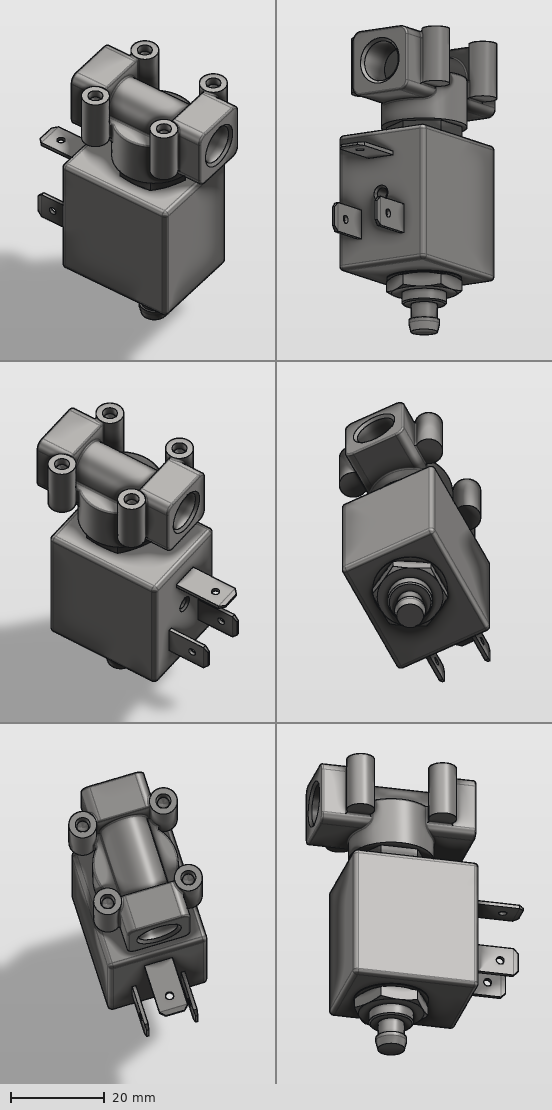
import cadquery as cq
import math


DRILL_POINT_ANGLE = 118.0
FLAT_END_ANGLE = 180.0

TAIL_TIP_RADIUS = 2.85
BARB_RADIUS = 3.3
BARB_TAPER_HEIGHT = 1.8
BARB_TOP = 2.6
TAIL_RADIUS = 2.8
COLLAR_BOTTOM = 6.0
COLLAR_RADIUS = 4.75
COLLAR_CHAMFER = 0.3

HEX_ACROSS_FLATS = 14.0
HEX_CHAMFER_HEIGHT = 0.45
LOWER_HEX_BOTTOM = 8.5

WASHER_RADIUS = 8.0
WASHER_THICKNESS = 0.2

COIL_BOTTOM = 11.7
COIL_HEIGHT = 29.45
COIL_TOP = COIL_BOTTOM + COIL_HEIGHT
COIL_LENGTH = 27.5
COIL_WIDTH = 22.05
COIL_LEFT = -16.55
COIL_FILLET = 1.0
WASHER_BOTTOM = COIL_BOTTOM - WASHER_THICKNESS

SCREW_Z = 27.2
SCREW_RADIUS = 1.25
SCREW_MOUTH_RADIUS = 1.8
SCREW_MOUTH_DEPTH = SCREW_MOUTH_RADIUS - SCREW_RADIUS
SCREW_DEPTH = 3.8

BLADE_WIDTH = 6.3
BLADE_THICKNESS = 0.8
BLADE_TIP_CUT = 1.1
BLADE_TIP_THICKNESS = 0.5
BLADE_HOLE_DIAMETER = 1.7
BLADE_HOLE_FROM_TIP = 4.0
UPPER_BLADE_TIP = -28.5
UPPER_BLADE_Z = 35.6
LOWER_BLADE_TIP = -26.5
LOWER_BLADE_Z = 21.05
LOWER_BLADE_Y = 5.45

OVERALL_HEIGHT = 63.35
BODY_BOTTOM = 44.65
BODY_TOP = 55.1
BODY_RADIUS = 9.1
PORT_EDGE_RADIUS = 0.4
BLEND_RADIUS = 0.3
COINCIDENCE = 0.03

PORT_SPAN = 33.95
PORT_SIZE = 14.0
PORT_Z = 56.1
PORT_CORNER_RADIUS = 1.95
PORT_GAP = 17.2
PORT_HOLE_RADIUS = 4.3
PORT_MOUTH_RADIUS = 4.95
PORT_MOUTH_DEPTH = PORT_MOUTH_RADIUS - PORT_HOLE_RADIUS
PORT_DEPTH = 8.25
TUBE_RADIUS = 5.2

PILLAR_SPACING = 18.0
PILLAR_RADIUS = 3.0
PILLAR_BOTTOM = 51.45
PILLAR_HOLE_RADIUS = 1.25
PILLAR_MOUTH_RADIUS = 1.6
PILLAR_MOUTH_DEPTH = 1.4
PILLAR_HOLE_DEPTH = 1.5


def cylinder(radius, bottom, top):
    return cq.Workplane("XY", origin=(0, 0, bottom)).circle(radius).extrude(top - bottom)


def blind_hole(radius, mouth_radius, mouth_depth, depth, point_angle):
    """Blind hole along -Z from the origin, with a conical mouth; a 180 degree point is a flat end."""
    point_depth = radius / math.tan(math.radians(point_angle / 2))
    return (
        cq.Workplane("XZ")
        .moveTo(0, 0)
        .lineTo(mouth_radius, 0)
        .lineTo(radius, -mouth_depth)
        .lineTo(radius, -depth)
        .lineTo(0, -depth - point_depth)
        .close()
        .revolve(360, (0, 0, 0), (0, 1, 0))
    )


def make_hose_tail():
    return (
        cq.Workplane("XZ")
        .moveTo(0, 0)
        .lineTo(TAIL_TIP_RADIUS, 0)
        .lineTo(BARB_RADIUS, BARB_TAPER_HEIGHT)
        .lineTo(BARB_RADIUS, BARB_TOP)
        .lineTo(TAIL_RADIUS, BARB_TOP)
        .lineTo(TAIL_RADIUS, COLLAR_BOTTOM)
        .lineTo(COLLAR_RADIUS - COLLAR_CHAMFER, COLLAR_BOTTOM)
        .lineTo(COLLAR_RADIUS, COLLAR_BOTTOM + COLLAR_CHAMFER)
        .lineTo(COLLAR_RADIUS, LOWER_HEX_BOTTOM)
        .lineTo(0, LOWER_HEX_BOTTOM)
        .close()
        .revolve(360, (0, 0, 0), (0, 1, 0))
    )


def make_hex(bottom, top, chamfered_faces):
    """Hexagon with corners along X, its chosen end faces turned down conically to the flats."""
    corner_diameter = HEX_ACROSS_FLATS / math.cos(math.radians(30))
    chamfer_width = (corner_diameter - HEX_ACROSS_FLATS) / 2
    prism = cq.Workplane("XY", origin=(0, 0, bottom)).polygon(6, corner_diameter).extrude(top - bottom)
    envelope = (
        cylinder(corner_diameter / 2, bottom, top)
        .faces(chamfered_faces)
        .edges()
        .chamfer(HEX_CHAMFER_HEIGHT, chamfer_width)
    )
    return prism.intersect(envelope)


def make_coil():
    coil = (
        cq.Workplane("XY", origin=(COIL_LEFT + COIL_LENGTH / 2, 0, COIL_BOTTOM))
        .rect(COIL_LENGTH, COIL_WIDTH)
        .extrude(COIL_HEIGHT)
        .edges()
        .fillet(COIL_FILLET)
    )
    screw_hole = (
        blind_hole(SCREW_RADIUS, SCREW_MOUTH_RADIUS, SCREW_MOUTH_DEPTH, SCREW_DEPTH, DRILL_POINT_ANGLE)
        .rotate((0, 0, 0), (0, 1, 0), -90)
        .translate((COIL_LEFT, 0, SCREW_Z))
    )
    return coil.cut(screw_hole)


def make_blade(tip_x):
    """Horizontal blade on the X axis, from its bevelled tip into the coil."""
    root_x = COIL_LEFT + COIL_FILLET
    length = root_x - tip_x
    half_thickness = BLADE_THICKNESS / 2
    plan = (
        cq.Workplane("XY", origin=((tip_x + root_x) / 2, 0, -half_thickness))
        .rect(length, BLADE_WIDTH)
        .extrude(BLADE_THICKNESS)
        .edges("|Z and <X")
        .chamfer(BLADE_TIP_CUT)
    )
    profile = (
        cq.Workplane("XZ")
        .moveTo(tip_x, -BLADE_TIP_THICKNESS / 2)
        .lineTo(tip_x + BLADE_TIP_CUT, -half_thickness)
        .lineTo(root_x, -half_thickness)
        .lineTo(root_x, half_thickness)
        .lineTo(tip_x + BLADE_TIP_CUT, half_thickness)
        .lineTo(tip_x, BLADE_TIP_THICKNESS / 2)
        .close()
        .extrude(BLADE_WIDTH / 2, both=True)
    )
    hole = (
        cq.Workplane("XY", origin=(tip_x + BLADE_HOLE_FROM_TIP, 0, 0))
        .circle(BLADE_HOLE_DIAMETER / 2)
        .extrude(BLADE_THICKNESS, both=True)
    )
    return plan.intersect(profile).cut(hole)


def make_blades():
    blades = make_blade(UPPER_BLADE_TIP).translate((0, 0, UPPER_BLADE_Z))
    upright_blade = make_blade(LOWER_BLADE_TIP).rotate((0, 0, 0), (1, 0, 0), 90)
    for side in (-1, 1):
        blades = blades.union(upright_blade.translate((0, side * LOWER_BLADE_Y, LOWER_BLADE_Z)))
    return blades


def make_port_blocks():
    """Square bar along X with rounded corners, notched above the body between the two ports."""
    bar = (
        cq.Workplane("YZ", origin=(-PORT_SPAN / 2, 0, PORT_Z))
        .rect(PORT_SIZE, PORT_SIZE)
        .extrude(PORT_SPAN)
        .edges("|X")
        .fillet(PORT_CORNER_RADIUS)
    )
    notch = (
        cq.Workplane("XY", origin=(0, 0, BODY_TOP))
        .rect(PORT_GAP, PORT_SIZE)
        .extrude(PORT_SIZE)
    )
    return bar.cut(notch).faces("<X or >X").edges().fillet(PORT_EDGE_RADIUS)


def pillar_centres():
    return cq.Workplane("XY").rect(PILLAR_SPACING, PILLAR_SPACING, forConstruction=True).vertices()


def make_port_holes():
    hole = blind_hole(PORT_HOLE_RADIUS, PORT_MOUTH_RADIUS, PORT_MOUTH_DEPTH, PORT_DEPTH, FLAT_END_ANGLE)
    holes = cq.Workplane("XY")
    for side in (-1, 1):
        placed = hole.rotate((0, 0, 0), (0, 1, 0), side * 90).translate((side * PORT_SPAN / 2, 0, PORT_Z))
        holes = holes.add(placed)
    return holes.combine()


def make_pillar_holes():
    hole = blind_hole(
        PILLAR_HOLE_RADIUS, PILLAR_MOUTH_RADIUS, PILLAR_MOUTH_DEPTH, PILLAR_HOLE_DEPTH, DRILL_POINT_ANGLE
    )
    return pillar_centres().eachpoint(hole.val()).translate((0, 0, OVERALL_HEIGHT))


def same(first, second):
    return abs(first - second) < COINCIDENCE


def is_blended(edge):
    """Pick the edges where the port blocks, tube, pillars and round body run into each other."""
    box = edge.BoundingBox()
    kind = edge.geomType()
    level = box.zlen < COINCIDENCE
    pillar_reach = PILLAR_SPACING / 2 + PILLAR_RADIUS
    upright = box.xlen < COINCIDENCE and box.ylen < COINCIDENCE

    on_body_top = level and same(box.zmin, BODY_TOP)
    on_notch_wall = box.xlen < COINCIDENCE and same(abs(box.xmin), PORT_GAP / 2)
    under_port = level and same(box.zmin, PORT_Z - PORT_SIZE / 2) and kind == "CIRCLE"
    under_pillar = level and same(box.zmin, PILLAR_BOTTOM) and kind == "LINE"
    on_port_side = upright and same(abs(box.ymin), PORT_SIZE / 2) and abs(box.xmin) < pillar_reach
    across_port_corner = kind == "BSPLINE"
    return any((on_body_top, on_notch_wall, under_port, under_pillar, on_port_side, across_port_corner))


def make_valve_body():
    pillars = (
        pillar_centres()
        .circle(PILLAR_RADIUS)
        .extrude(OVERALL_HEIGHT - PILLAR_BOTTOM)
        .translate((0, 0, PILLAR_BOTTOM))
    )
    tube = (
        cq.Workplane("YZ", origin=(-PORT_GAP / 2, 0, PORT_Z))
        .circle(TUBE_RADIUS)
        .extrude(PORT_GAP)
    )
    body = cylinder(BODY_RADIUS, BODY_BOTTOM, BODY_TOP)
    body = body.union(make_port_blocks()).union(tube).union(pillars)
    body = body.edges().filter(is_blended).fillet(BLEND_RADIUS)
    return body.cut(make_port_holes()).cut(make_pillar_holes())


result = (
    make_hose_tail()
    .union(make_hex(LOWER_HEX_BOTTOM, WASHER_BOTTOM, "<Z or >Z"))
    .union(cylinder(WASHER_RADIUS, WASHER_BOTTOM, COIL_BOTTOM))
    .union(make_coil())
    .union(make_blades())
    .union(make_hex(COIL_TOP, BODY_BOTTOM, "<Z"))
    .union(make_valve_body())
)